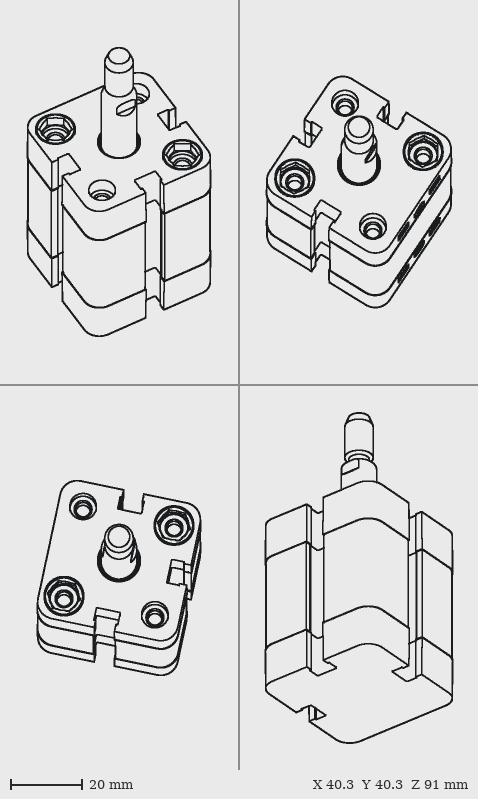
import cadquery as cq
import math


total_height = 91.0
cap_height = 12.4
barrel_height = 29.1
cap_width = 40.3
cap_face_width = 40.0
barrel_width = 40.0
corner_radius = 5.0
front_cap_base = cap_height + barrel_height
cap_draft = math.degrees(math.atan2((cap_width - cap_face_width) / 2, cap_height))

slot_angles = (0, 90, 270)
slot_depth = 5.6
slot_lip = 2.1
slot_inner_width = 6.8
slot_floor_radius = 0.4
cap_slot_mouth = 5.8
barrel_slot_mouth = 6.4

port_diameter = 4.1
port_rim_diameter = 5.5
port_rim_depth = 0.5
port_depth = 7.3
port_from_face = 7.5
label_width = 5.2
label_height = 3.2
label_depth = 0.3
label_offset = 8.1
label_from_face = 6.3

screw_offset = 13.0
thread_diameter = 4.1
thread_rim_diameter = 5.0
thread_rim_depth = 0.5
thread_depth = 5.0

screw_bore_depth = 4.4

plain_bore_diameter = 7.5
plain_positions = [(-screw_offset, screw_offset), (screw_offset, -screw_offset)]

socket_bore_diameter = 7.8
socket_positions = [(-screw_offset, -screw_offset), (screw_offset, screw_offset)]
groove_outer_diameter = 11.1
groove_inner_diameter = 10.5
groove_depth = 0.9
hexagon_flats = 8.0
hexagon_depth = 3.0
hexagon_relief_diameter = 8.3

recess_rim_diameter = 12.0
recess_step_diameters = (11.4, 10.9, 10.5)
recess_step_depth = 0.5

rod_diameter = 10.0
rod_shoulder_z = 75.1
rod_shoulder_radius = 1.2
neck_diameter = 5.8
neck_fillet = 0.4
thread_cone_length = 0.6
tip_thread_diameter = 8.0
tip_thread_base_z = 78.0
tip_diameter = 6.0
tip_taper_length = 2.7
wrench_flats = 8.0
wrench_flat_length = 3.5


def rounded_square(width, height, taper=0.0):
    """Square prism standing on Z = 0 with rounded vertical corners."""
    outline = cq.Sketch().rect(width, width).vertices().fillet(corner_radius)
    return cq.Workplane("XY").placeSketch(outline).extrude(height, taper=taper)


def cylinder(diameter, height, base_z):
    return cq.Workplane("XY", origin=(0, 0, base_z)).circle(diameter / 2).extrude(height)


def cone(base_diameter, top_diameter, height, base_z):
    solid = cq.Solid.makeCone(base_diameter / 2, top_diameter / 2, height, pnt=cq.Vector(0, 0, base_z))
    return cq.Workplane(obj=solid)


def slot_cutters(mouth_width, height):
    """The T-slot spaces, as tall as the body they cut."""
    face_x = barrel_width / 2
    inner_length = slot_depth - slot_lip
    channel = (
        cq.Workplane("XY")
        .box(inner_length, slot_inner_width, height, centered=(False, True, False))
        .edges("|Z and <X")
        .fillet(slot_floor_radius)
        .translate((face_x - slot_depth, 0, 0))
    )
    mouth = (
        cq.Workplane("XY")
        .box(slot_depth, mouth_width, height, centered=(False, True, False))
        .translate((face_x - inner_length, 0, 0))
    )
    slot = channel.union(mouth)
    return [slot.rotate((0, 0, 0), (0, 0, 1), angle) for angle in slot_angles]


def port_cutter():
    """Threaded port with a countersunk rim, entering the cap from its -X side."""
    center = (-cap_width / 2, 0, cap_height - port_from_face)
    plane = cq.Plane(origin=center, xDir=(0, 1, 0), normal=(1, 0, 0))
    bore = cq.Workplane(plane).circle(port_diameter / 2).extrude(port_depth)
    rim = cq.Solid.makeCone(
        port_rim_diameter / 2,
        port_diameter / 2,
        port_rim_depth,
        pnt=plane.origin,
        dir=plane.zDir,
    )
    return bore.union(cq.Workplane(obj=rim))


def label_cutter(side):
    """Shallow rectangular recess beside the port."""
    return (
        cq.Workplane("XY")
        .box(label_depth, label_width, label_height, centered=(False, True, True))
        .translate((-cap_width / 2, side * label_offset, cap_height - label_from_face))
    )


def make_cap():
    """Plain end cap with its joint face on Z = 0 and its outer face at the top."""
    cap = rounded_square(cap_width, cap_height, cap_draft)
    for slot in slot_cutters(cap_slot_mouth, cap_height):
        cap = cap.cut(slot)
    cap = cap.cut(port_cutter())
    for side in (-1, 1):
        cap = cap.cut(label_cutter(side))
    return cap


def make_rear_cap():
    return make_cap().mirror("XY").translate((0, 0, cap_height))


def thread_cutter(base_z):
    """Threaded hole with a countersunk rim, going down from base_z."""
    bore = cylinder(thread_diameter, thread_depth, base_z - thread_depth)
    rim = cone(thread_diameter, thread_rim_diameter, thread_rim_depth, base_z - thread_rim_depth)
    return bore.union(rim)


def screw_bore_cutter(diameter):
    """Round bore with a threaded hole in its floor."""
    floor_z = cap_height - screw_bore_depth
    return cylinder(diameter, screw_bore_depth, floor_z).union(thread_cutter(floor_z))


def socket_screw_cutter():
    """Screw bore widened at its top to a hexagon with relieved flats, ringed by a narrow groove."""
    hexagon_floor_z = cap_height - hexagon_depth
    hexagon_diameter = hexagon_flats / math.cos(math.pi / 6)
    hexagon = (
        cq.Workplane("XY", origin=(0, 0, hexagon_floor_z))
        .polygon(6, hexagon_diameter)
        .extrude(hexagon_depth)
    )
    relief = cylinder(hexagon_relief_diameter, hexagon_depth, hexagon_floor_z)
    groove_floor_z = cap_height - groove_depth
    groove = cylinder(groove_outer_diameter, groove_depth, groove_floor_z).cut(
        cylinder(groove_inner_diameter, groove_depth, groove_floor_z)
    )
    return screw_bore_cutter(socket_bore_diameter).union(hexagon).union(relief).union(groove)


def rod_passage_cutter():
    """Hole for the rod, with a stepped recess around it that opens out at the cap face."""
    cutter = cylinder(rod_diameter, cap_height, 0)
    for step, diameter in enumerate(recess_step_diameters, start=1):
        depth = step * recess_step_depth
        cutter = cutter.union(cylinder(diameter, depth, cap_height - depth))
    mouth_diameter = recess_step_diameters[0]
    rim_depth = (recess_rim_diameter - mouth_diameter) / 2
    rim = cone(mouth_diameter, recess_rim_diameter, rim_depth, cap_height - rim_depth)
    return cutter.union(rim)


def make_front_cap():
    cap = make_cap().cut(rod_passage_cutter())
    for x, y in plain_positions:
        cap = cap.cut(screw_bore_cutter(plain_bore_diameter).translate((x, y, 0)))
    for x, y in socket_positions:
        cap = cap.cut(socket_screw_cutter().translate((x, y, 0)))
    return cap.translate((0, 0, front_cap_base))


def make_barrel():
    barrel = rounded_square(barrel_width, barrel_height)
    for slot in slot_cutters(barrel_slot_mouth, barrel_height):
        barrel = barrel.cut(slot)
    return barrel.translate((0, 0, cap_height))


def make_rod():
    """Round rod with a rounded shoulder, a neck and a tapered threaded tip."""
    rod_radius = rod_diameter / 2
    neck_radius = neck_diameter / 2
    thread_radius = tip_thread_diameter / 2
    neck_top_z = tip_thread_base_z - thread_cone_length
    arc_reach = math.sqrt(0.5)
    profile = (
        cq.Workplane("XZ")
        .moveTo(0, front_cap_base)
        .lineTo(rod_radius, front_cap_base)
        .lineTo(rod_radius, rod_shoulder_z - rod_shoulder_radius)
        .threePointArc(
            (
                rod_radius - rod_shoulder_radius * (1 - arc_reach),
                rod_shoulder_z - rod_shoulder_radius * (1 - arc_reach),
            ),
            (rod_radius - rod_shoulder_radius, rod_shoulder_z),
        )
        .lineTo(neck_radius + neck_fillet, rod_shoulder_z)
        .threePointArc(
            (
                neck_radius + neck_fillet * (1 - arc_reach),
                rod_shoulder_z + neck_fillet * (1 - arc_reach),
            ),
            (neck_radius, rod_shoulder_z + neck_fillet),
        )
        .lineTo(neck_radius, neck_top_z)
        .lineTo(thread_radius, tip_thread_base_z)
        .lineTo(thread_radius, total_height - tip_taper_length)
        .lineTo(tip_diameter / 2, total_height)
        .lineTo(0, total_height)
        .close()
    )
    rod = profile.revolve(360, (0, 0, 0), (0, 1, 0))
    for side in (-1, 1):
        rod = rod.cut(wrench_flat_cutter(side))
    return rod


def wrench_flat_cutter(side):
    """Space beside a wrench flat; its lower end slopes out to the rod surface at 45 degrees."""
    flat_x = wrench_flats / 2
    outer_x = rod_diameter / 2
    flat_base_z = rod_shoulder_z - wrench_flat_length
    return (
        cq.Workplane("XZ")
        .polyline(
            [
                (side * flat_x, rod_shoulder_z),
                (side * flat_x, flat_base_z),
                (side * outer_x, flat_base_z - (outer_x - flat_x)),
                (side * outer_x, rod_shoulder_z),
            ]
        )
        .close()
        .extrude(rod_diameter / 2, both=True)
    )


rear_cap = make_rear_cap()
barrel = make_barrel()
front_cap = make_front_cap()
rod = make_rod()

result = cq.Compound.makeCompound([rear_cap.val(), barrel.val(), front_cap.val(), rod.val()])